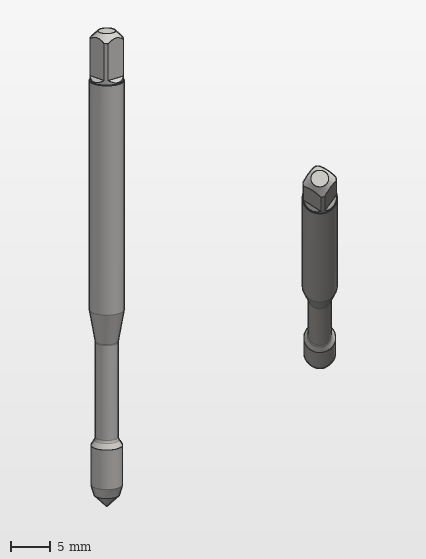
import cadquery as cq

total_length = 64.35
point_to_datum = 1.35

shank_diameter = 4.5
corner_diameter = 4.32
square_width = 3.4
square_length = 6.0
drive_length = 6.7
top_face_diameter = 2.28

neck_diameter = 2.97
neck_bottom_z = 9.25
neck_length = 21.0
taper_bottom_z = point_to_datum + neck_length
taper_length = 4.3
blend_radius = 0.7

head_diameter = 4.09
thread_length = 7.0
head_top_z = point_to_datum + thread_length
lead_top_z = 3.0
point_diameter = 3.3


def revolve_profile(points):
    """Solid of revolution about Z from a list of (radius, z) points."""
    return cq.Workplane("XZ").polyline(points).close().revolve(360, (0, 0, 0), (0, 1, 0))


def make_flat_cutter():
    """Block that cuts the +X flat, with a 45 degree run-out at its lower end."""
    inner_x = square_width / 2
    outer_x = shank_diameter
    flat_bottom_z = total_length - square_length
    runout_bottom_z = flat_bottom_z - (outer_x - inner_x)
    points = [
        (inner_x, total_length),
        (inner_x, flat_bottom_z),
        (outer_x, runout_bottom_z),
        (outer_x, total_length),
    ]
    return cq.Workplane("XZ").polyline(points).close().extrude(shank_diameter / 2, both=True)


def make_shank():
    """Back cone, neck, taper and shank as one turned body, with a square on top."""
    head_radius = head_diameter / 2
    neck_radius = neck_diameter / 2
    shank_radius = shank_diameter / 2
    corner_radius = corner_diameter / 2
    top_face_radius = top_face_diameter / 2

    top_chamfer = corner_radius - top_face_radius
    shank_chamfer = shank_radius - corner_radius
    shank_top_z = total_length - drive_length

    body = revolve_profile([
        (0, head_top_z),
        (head_radius, head_top_z),
        (neck_radius, neck_bottom_z),
        (neck_radius, taper_bottom_z),
        (shank_radius, taper_bottom_z + taper_length),
        (shank_radius, shank_top_z),
        (corner_radius, shank_top_z + shank_chamfer),
        (corner_radius, total_length),
        (0, total_length),
    ])

    neck_ends = cq.selectors.RadiusNthSelector(0)
    body = body.edges("%CIRCLE").edges(neck_ends).fillet(blend_radius)
    body = body.faces(">Z").edges().chamfer(top_chamfer)

    flat_cutter = make_flat_cutter()
    for quarter in range(4):
        body = body.cut(flat_cutter.rotate((0, 0, 0), (0, 0, 1), 90 * quarter))
    return body


def make_cutting_head():
    """Cutting head: 90 degree point, tapered lead and cylindrical thread part."""
    head_radius = head_diameter / 2
    point_radius = point_diameter / 2
    return revolve_profile([
        (0, 0),
        (point_radius, point_radius),
        (head_radius, lead_top_z),
        (head_radius, head_top_z),
        (0, head_top_z),
    ])


shank = make_shank()
cutting_head = make_cutting_head()

result = cq.Compound.makeCompound([shank.val(), cutting_head.val()])